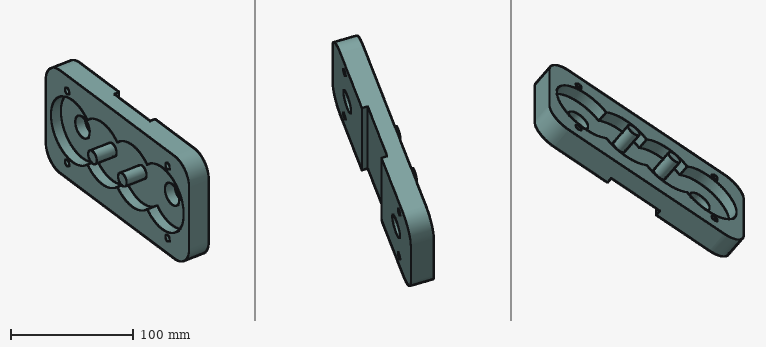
import cadquery as cq

length = 200.0
height = 100.0
thickness = 20.0
corner_radius = 20.0

pocket_count = 4
pocket_diameter = 60.0
pocket_depth = 10.0
row_span = 125.0
pocket_pitch = row_span / (pocket_count - 1)

bore_diameter = 20.0
peg_diameter = 12.0
peg_projection = 10.0

screw_hole_diameter = 6.0
screw_spacing_x = 140.0
screw_spacing_z = 70.0

channel_width = 50.0
channel_depth = 5.0

pocket_centers = [(i * pocket_pitch - row_span / 2, 0) for i in range(pocket_count)]
end_centers = [pocket_centers[0], pocket_centers[-1]]
inner_centers = pocket_centers[1:-1]


def cylinders(centers, diameter, y_start, y_end):
    """Cylinders along Y at the given (x, z) centres, merged where they overlap."""
    plane = cq.Workplane("XZ", origin=(0, y_end, 0))
    bodies = [plane.center(x, z).circle(diameter / 2).extrude(y_end - y_start) for x, z in centers]
    merged = bodies[0]
    for body in bodies[1:]:
        merged = merged.union(body)
    return merged


plate = (
    cq.Workplane("XY")
    .box(length, thickness, height, centered=(True, False, True))
    .edges("|Y")
    .fillet(corner_radius)
)

plate = plate.cut(cylinders(pocket_centers, pocket_diameter, 0, pocket_depth))
plate = plate.cut(cylinders(end_centers, bore_diameter, 0, thickness))

screw_centers = [
    (side_x * screw_spacing_x / 2, side_z * screw_spacing_z / 2)
    for side_x in (-1, 1)
    for side_z in (-1, 1)
]
plate = plate.cut(cylinders(screw_centers, screw_hole_diameter, 0, thickness))

channel = (
    cq.Workplane("XY")
    .box(channel_width, channel_depth, height, centered=(True, False, True))
    .translate((0, thickness - channel_depth, 0))
)
plate = plate.cut(channel)

result = plate.union(cylinders(inner_centers, peg_diameter, -peg_projection, pocket_depth))